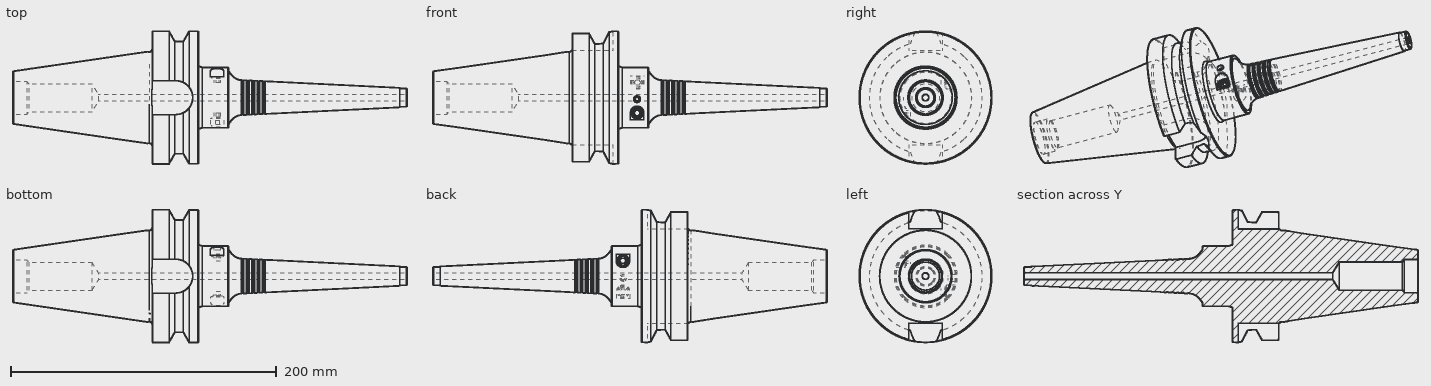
import cadquery as cq
import math

length = 296.8

taper_start_radius = 20.0
taper_end = 101.2
taper_ratio = 7 / 24
taper_end_radius = taper_start_radius + taper_end * taper_ratio / 2
rear_chamfer = 0.5

neck_radius = 34.5
neck_fillet = 2.0

flange_start = 104.8
flange_end = 139.8
flange_radius = 100.0 / 2
flange_chamfer = 0.5
groove_rim_start = 117.5
groove_rim_end = 132.7
groove_floor_radius = 42.5
groove_flank_angle = math.radians(60)
groove_flank = (flange_radius - groove_floor_radius) / math.tan(groove_flank_angle)

slot_width = 25.5
slot_floor = 35.5
slot_end = 135.3

boss_radius = 45.7 / 2
boss_root_radius = 23.7
boss_root_end = 142.5
boss_end = 162.3
boss_chamfer = 0.5

shoulder_radius = 20.2
shoulder_cone_end = 164.7
shoulder_cone_radius = 17.0
shoulder_sag = 0.5
nose_start = 170.7

nose_start_radius = 13.5
nose_end = 291.2
nose_end_radius = 7.5
tip_radius = 14.0 / 2
tip_chamfer = 0.5
nose_slope = (nose_start_radius - nose_end_radius) / (nose_end - nose_start)

ring_count = 5
ring_start = 171.8
ring_width = 2.0
ring_end = 190.0
ring_pitch = (ring_end - ring_width - ring_start) / (ring_count - 1)
ring_depth = 0.5

mouth_radius = 25.5 / 2
pilot_radius = 25.0 / 2
mouth_chamfer = mouth_radius - pilot_radius
pilot_depth = 10.5
bore_entry_radius = 24.0 / 2
bore_radius = 21.0 / 2
bore_entry_chamfer = bore_entry_radius - bore_radius
bore_depth = 59.5
drill_point_angle = math.radians(118)
through_radius = 4.7 / 2

screw_x = 153.7
screw_offset = 11.5
pocket_width = 10.0
pocket_floor = 15.7
seat_diameter = 9.0
seat_depth = 0.5
screw_diameter = 6.8
screw_recess = 1.2
socket_size = 4.7
socket_depth = 3.0
plug_offset = 1.2
plug_diameter = 5.0
plug_depth = 3.0
plug_drill_diameter = 3.0
plug_drill_depth = 3.0


def nose_radius(x):
    """Radius of the nose cone at axial position x."""
    return nose_start_radius - nose_slope * (x - nose_start)


def make_body():
    """Solid of revolution for the whole outside of the holder."""
    fillet_offset = neck_fillet * (1 - math.sqrt(0.5))
    shoulder_mid_x = (shoulder_cone_end + nose_start) / 2
    shoulder_mid_radius = (shoulder_cone_radius + nose_start_radius) / 2 - shoulder_sag
    profile = (
        cq.Workplane("XY")
        .moveTo(0, 0)
        .lineTo(0, taper_start_radius - rear_chamfer)
        .lineTo(rear_chamfer, taper_start_radius + rear_chamfer * taper_ratio / 2)
        .lineTo(taper_end, taper_end_radius)
        .lineTo(flange_start - neck_fillet, neck_radius)
        .threePointArc(
            (flange_start - fillet_offset, neck_radius + fillet_offset),
            (flange_start, neck_radius + neck_fillet),
        )
        .lineTo(flange_start, flange_radius - flange_chamfer)
        .lineTo(flange_start + flange_chamfer, flange_radius)
        .lineTo(groove_rim_start, flange_radius)
        .lineTo(groove_rim_start + groove_flank, groove_floor_radius)
        .lineTo(groove_rim_end - groove_flank, groove_floor_radius)
        .lineTo(groove_rim_end, flange_radius)
        .lineTo(flange_end - flange_chamfer, flange_radius)
        .lineTo(flange_end, flange_radius - flange_chamfer)
        .lineTo(flange_end, boss_root_radius)
        .lineTo(boss_root_end, boss_radius)
        .lineTo(boss_end - boss_chamfer, boss_radius)
        .lineTo(boss_end, boss_radius - boss_chamfer)
        .lineTo(boss_end, shoulder_radius)
        .lineTo(shoulder_cone_end, shoulder_cone_radius)
        .threePointArc((shoulder_mid_x, shoulder_mid_radius), (nose_start, nose_start_radius))
        .lineTo(nose_end, nose_end_radius)
        .lineTo(nose_end, tip_radius)
        .lineTo(length - tip_chamfer, tip_radius)
        .lineTo(length, tip_radius - tip_chamfer)
        .lineTo(length, 0)
        .close()
    )
    return profile.revolve(360, (0, 0, 0), (1, 0, 0))


def make_nose_ring(start):
    """Shallow V groove around the nose cone."""
    middle = start + ring_width / 2
    end = start + ring_width
    return (
        cq.Workplane("XY")
        .moveTo(start, nose_radius(start))
        .lineTo(start, nose_start_radius)
        .lineTo(end, nose_start_radius)
        .lineTo(end, nose_radius(end))
        .lineTo(middle, nose_radius(middle) - ring_depth)
        .close()
        .revolve(360, (0, 0, 0), (1, 0, 0))
    )


def make_bore():
    """Stepped rear bore with a drill-point cone and a hole through the nose."""
    cone_length = (bore_radius - through_radius) / math.tan(drill_point_angle / 2)
    return (
        cq.Workplane("XY")
        .moveTo(0, 0)
        .lineTo(0, mouth_radius)
        .lineTo(mouth_chamfer, pilot_radius)
        .lineTo(pilot_depth, pilot_radius)
        .lineTo(pilot_depth, bore_entry_radius)
        .lineTo(pilot_depth + bore_entry_chamfer, bore_radius)
        .lineTo(bore_depth, bore_radius)
        .lineTo(bore_depth + cone_length, through_radius)
        .lineTo(length, through_radius)
        .lineTo(length, 0)
        .close()
        .revolve(360, (0, 0, 0), (1, 0, 0))
    )


def make_driving_slot():
    """Round-ended slot on the +Z side, open toward the taper."""
    end_center = slot_end - slot_width / 2
    half_width = slot_width / 2
    return (
        cq.Workplane("XY", origin=(0, 0, slot_floor))
        .moveTo(taper_end, -half_width)
        .lineTo(end_center, -half_width)
        .threePointArc((slot_end, 0), (end_center, half_width))
        .lineTo(taper_end, half_width)
        .close()
        .extrude(flange_radius)
    )


def make_screw_pocket():
    """Pocket on the -Y side, open toward -Z, with the recessed socket of the screw."""
    half_width = pocket_width / 2
    pocket = (
        cq.Workplane("XZ", origin=(screw_x, -pocket_floor, -screw_offset))
        .moveTo(-half_width, -boss_radius)
        .lineTo(-half_width, 0)
        .threePointArc((0, half_width), (half_width, 0))
        .lineTo(half_width, -boss_radius)
        .close()
        .extrude(boss_radius)
    )
    floor = cq.Workplane("XZ", origin=(screw_x, -pocket_floor, -screw_offset))
    seat = floor.circle(seat_diameter / 2).extrude(-seat_depth)
    recess = floor.circle(screw_diameter / 2).extrude(-screw_recess)
    socket = floor.polygon(6, socket_size).extrude(-screw_recess - socket_depth)
    return pocket.union(seat).union(recess).union(socket)


def make_plug_hole():
    """Stepped blind hole in the -Y side of the boss."""
    surface = cq.Workplane("XZ", origin=(screw_x, -boss_radius, -plug_offset))
    plug = surface.circle(plug_diameter / 2).extrude(-plug_depth)
    drill = surface.circle(plug_drill_diameter / 2).extrude(-plug_depth - plug_drill_depth)
    return plug.union(drill)


result = make_body()
for index in range(ring_count):
    result = result.cut(make_nose_ring(ring_start + index * ring_pitch))
result = result.cut(make_bore())
for turn in (0, 180):
    result = result.cut(make_driving_slot().rotate((0, 0, 0), (1, 0, 0), turn))
    result = result.cut(make_screw_pocket().rotate((0, 0, 0), (1, 0, 0), turn))
result = result.cut(make_plug_hole())